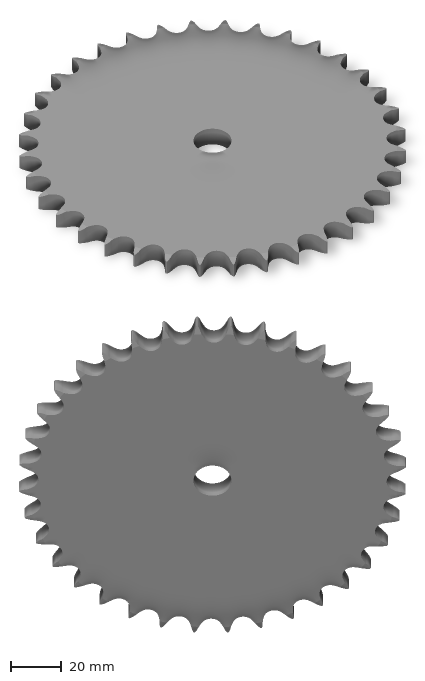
import cadquery as cq
import math

tooth_count = 36
tip_radius = 76.3
thickness = 8.0
bore_diameter = 15.0

relief_start_radius = 72.8
relief_depth = 0.9

root_radius = 68.5
seat_radius = 4.3
seat_half_angle = 55.0

hollow_end_half_width = 1.4
hollow_end_height = 73.3
flank_half_width = 1.15
flank_height = 74.2
tip_half_width = 0.23

clearance = 1.5

tooth_pitch = 360.0 / tooth_count
half_pitch = math.radians(tooth_pitch / 2)


def beside_tooth(half_width, height):
    """Point on the side of the tooth right of a gap centred on +Y."""
    x = height * math.sin(half_pitch) - half_width * math.cos(half_pitch)
    y = height * math.cos(half_pitch) + half_width * math.sin(half_pitch)
    return (x, y)


def on_seat(angle_from_bottom):
    """Point on the roller seat of a gap centred on +Y."""
    angle = math.radians(angle_from_bottom)
    x = seat_radius * math.sin(angle)
    y = root_radius + seat_radius * (1 - math.cos(angle))
    return (x, y)


def gap_cutter():
    """Prism that clears one tooth gap, centred on +Y."""
    tip_corner = beside_tooth(tip_half_width, tip_radius)
    outer_height = tip_radius + clearance
    return (
        cq.Workplane("XY")
        .moveTo(*on_seat(0))
        .threePointArc(on_seat(seat_half_angle / 2), on_seat(seat_half_angle))
        .tangentArcPoint(beside_tooth(hollow_end_half_width, hollow_end_height), relative=False)
        .lineTo(*beside_tooth(flank_half_width, flank_height))
        .tangentArcPoint(tip_corner, relative=False)
        .lineTo(tip_corner[0], outer_height)
        .lineTo(0, outer_height)
        .mirrorY()
        .extrude(thickness)
    )


def relieved_disc():
    """Round blank with a conical bevel around the rim of both faces."""
    half_section = [
        (0, 0),
        (relief_start_radius, 0),
        (tip_radius, relief_depth),
        (tip_radius, thickness - relief_depth),
        (relief_start_radius, thickness),
        (0, thickness),
    ]
    return cq.Workplane("XZ").polyline(half_section).close().revolve(360, (0, 0, 0), (0, 1, 0))


def cut_teeth(disc):
    """Cut the gaps midway between teeth, with one tooth standing on +Y."""
    gap = gap_cutter()
    for index in range(tooth_count):
        disc = disc.cut(gap.rotate((0, 0, 0), (0, 0, 1), (index + 0.5) * tooth_pitch))
    return disc


result = cut_teeth(relieved_disc()).faces(">Z").workplane().hole(bore_diameter)